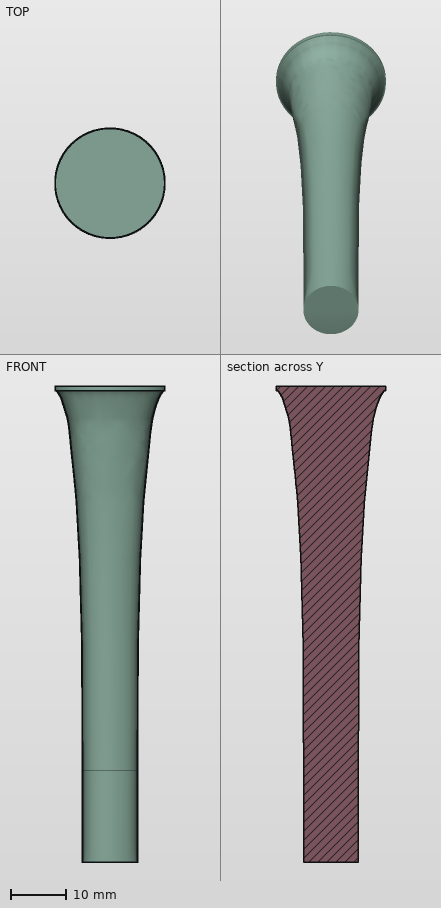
import cadquery as cq

length = 86.4
head_diameter = 20.0
shank_diameter = 10.0

rim_thickness = 0.9
shank_length = 16.7

head_radius = head_diameter / 2
shank_radius = shank_diameter / 2
rim_bottom = length - rim_thickness

rim_lip = 0.3
flare_top = (head_radius - rim_lip, rim_bottom)

flare_points = [
    (5.1, 38.5),
    (5.5, 55.1),
    (6.3, 67.65),
    (7.2, 75.95),
    (8.3, 82.7),
    flare_top,
]


def make_shank():
    """Plain cylindrical lower end."""
    return cq.Workplane("XY").circle(shank_radius).extrude(shank_length)


def make_flared_body():
    """Trumpet-shaped body, tangent to the shank and closed by a thin rim."""
    profile = (
        cq.Workplane("XZ")
        .moveTo(0, shank_length)
        .lineTo(shank_radius, shank_length)
        .spline(flare_points, tangents=[(0, 1), (1, 1)], includeCurrent=True)
        .lineTo(head_radius, rim_bottom)
        .lineTo(head_radius, length)
        .lineTo(0, length)
        .close()
    )
    return profile.revolve(360, (0, 0, 0), (0, 1, 0))


result = make_shank().union(make_flared_body())